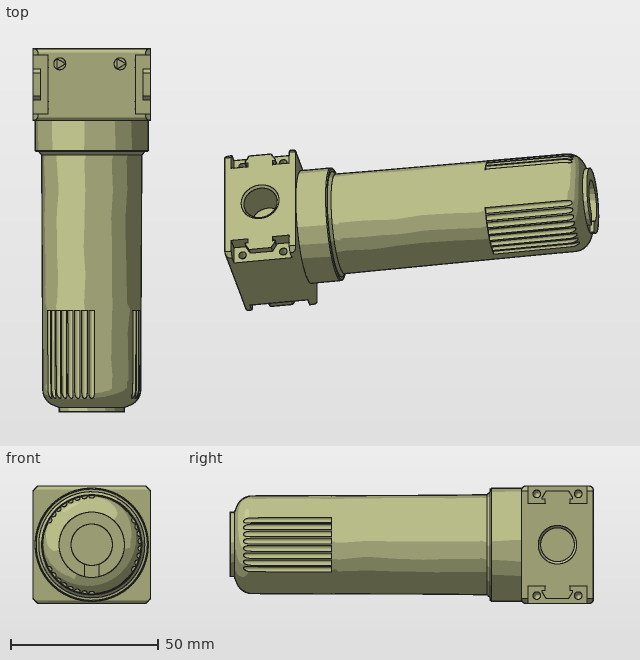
import cadquery as cq
import math


block_side = 40.0
block_length = 24.4
half_side = block_side / 2
block_mid = block_length / 2
corner_chamfer = 1.7
rim_length = 1.6
rim_drop = 1.4

collar_diameter = 38.5
collar_end = 35.0
collar_chamfer = 0.4

port_diameter = 11.5
port_chamfer = 0.8
port_depth = 14.8

pocket_length = 20.0
pocket_height = 5.9
pocket_depth = 5.2
tab_depth = 2.6
tab_neck_half = 4.2
tab_wide_half = 5.2
tab_tip_half = 3.8
tab_neck_drop = 4.5
tab_wide_drop = 4.0
tab_tip_drop = corner_chamfer
dimple_diameter = 2.6
dimple_depth = 3.0
dimple_offset = 7.0
dimple_drop = 2.7

arrow_diameter = 4.1
arrow_positions = (-10.9, 9.6)
arrow_station = 5.2
disc_depth = 0.2
arrow_depth = 0.7

neck_diameter = 36.0
bowl_diameter = 34.0
bowl_small_diameter = 33.3
neck_end = 36.1
taper_start = 38.3
shoulder_start = 115.4
shoulder_end = 121.0
shoulder_end_diameter = 26.4
boss_start = 121.8
boss_diameter = 22.2
bowl_end = 123.3
shoulder_radius = 5.8

end_recess_diameter = 14.0
end_recess_depth = 2.5
slot_width = 4.9
slot_depth = bowl_end - boss_start

groove_diameter = 2.0
groove_axis_radius = 16.8
groove_start = 88.9
grooves_per_group = 8
group_span = 60
group_count = 3


def block():
    """Square block with chamfered lengthwise corners and rounded top and bottom rims."""
    body = cq.Workplane("XY").box(block_side, block_length, block_side)
    body = body.edges("|Y").chamfer(corner_chamfer)

    rim_radius = (rim_length**2 + rim_drop**2) / (2 * rim_drop)
    rim_station = block_mid - rim_length
    rim_height = half_side - rim_drop
    profile = (
        cq.Workplane("YZ")
        .moveTo(-rim_station, half_side)
        .lineTo(rim_station, half_side)
        .radiusArc((block_mid, rim_height), rim_radius)
        .lineTo(block_mid, -rim_height)
        .radiusArc((rim_station, -half_side), rim_radius)
        .lineTo(-rim_station, -half_side)
        .radiusArc((-block_mid, -rim_height), rim_radius)
        .lineTo(-block_mid, rim_height)
        .radiusArc((-rim_station, half_side), rim_radius)
        .close()
    )
    body = body.intersect(profile.extrude(half_side, both=True))
    return body.translate((0, -block_mid, 0))


def collar():
    radius = collar_diameter / 2
    body = cq.Workplane("XZ").workplane(offset=block_length).circle(radius).extrude(collar_end - block_length)
    return body.faces("<Y").chamfer(collar_chamfer)


def port():
    """Blind port with a chamfered mouth, entering the -X side."""
    radius = port_diameter / 2
    mouth_radius = radius + port_chamfer
    outline = (
        cq.Workplane("XY")
        .moveTo(-half_side, 0)
        .lineTo(-half_side, mouth_radius)
        .lineTo(-half_side + port_chamfer, radius)
        .lineTo(-half_side + port_depth, radius)
        .lineTo(-half_side + port_depth, 0)
        .close()
    )
    return outline.revolve(360, (0, 0, 0), (1, 0, 0)).translate((0, -block_mid, 0))


def pocket():
    """Cutter for the upper pocket on the -X side, leaving the dovetail tab standing."""
    space = cq.Workplane("XY").box(pocket_depth, pocket_length, pocket_height, centered=(False, True, False))
    space = space.translate((-half_side, 0, half_side - pocket_height))

    half_outline = [
        (tab_neck_half, pocket_height),
        (tab_neck_half, tab_neck_drop),
        (tab_wide_half, tab_neck_drop),
        (tab_wide_half, tab_wide_drop),
        (tab_tip_half, tab_tip_drop),
    ]
    right = [(across, half_side - drop) for across, drop in half_outline]
    left = [(-across, height) for across, height in reversed(right)]
    tab = cq.Workplane("YZ").workplane(offset=-half_side).polyline(right + left).close().extrude(tab_depth)
    cutter = space.cut(tab)

    radius = dimple_diameter / 2
    for across in (-dimple_offset, dimple_offset):
        mouth = cq.Vector(pocket_depth - half_side, across, half_side - dimple_drop)
        dimple = cq.Solid.makeCone(radius, 0, dimple_depth, pnt=mouth, dir=cq.Vector(1, 0, 0))
        cutter = cutter.union(cq.Workplane(dimple))
    return cutter.translate((0, -block_mid, 0))


def flow_arrow(position):
    """Round recess with a deeper triangle in its floor that points toward +X."""
    face = cq.Workplane("XY").workplane(offset=half_side)
    disc = face.circle(arrow_diameter / 2).extrude(-disc_depth)
    triangle = face.polygon(3, arrow_diameter).extrude(-arrow_depth)
    return disc.union(triangle).translate((position, -arrow_station, 0))


def make_housing():
    body = block().union(collar())
    for cutter in (port(), pocket(), pocket().mirror("XY")):
        body = body.cut(cutter).cut(cutter.mirror("YZ"))
    for position in arrow_positions:
        body = body.cut(flow_arrow(position))
    return body


def bowl_blank():
    """Round bowl turned about Y, with a neck cone, a slight taper, a rounded shoulder and an end boss."""
    small_radius = bowl_small_diameter / 2
    end_radius = shoulder_end_diameter / 2
    chord_across = small_radius - end_radius
    chord_along = shoulder_end - shoulder_start
    chord = math.hypot(chord_across, chord_along)
    bulge = shoulder_radius - math.sqrt(shoulder_radius**2 - (chord / 2) ** 2)
    middle_radius = (small_radius + end_radius) / 2 + bulge * chord_along / chord
    middle_station = (shoulder_start + shoulder_end) / 2 + bulge * chord_across / chord
    outline = (
        cq.Workplane("XY")
        .moveTo(0, -collar_end)
        .lineTo(neck_diameter / 2, -collar_end)
        .lineTo(bowl_diameter / 2, -neck_end)
        .lineTo(bowl_diameter / 2, -taper_start)
        .lineTo(small_radius, -shoulder_start)
        .threePointArc((middle_radius, -middle_station), (end_radius, -shoulder_end))
        .lineTo(boss_diameter / 2, -boss_start)
        .lineTo(boss_diameter / 2, -bowl_end)
        .lineTo(0, -bowl_end)
        .close()
    )
    return outline.revolve(360, (0, 0, 0), (0, 1, 0))


def end_recess():
    """Round recess in the end boss with a slot leading out of it toward -Z."""
    end_plane = cq.Workplane("XZ").workplane(offset=bowl_end)
    radius = end_recess_diameter / 2
    boss_radius = boss_diameter / 2
    recess = end_plane.circle(radius).extrude(-end_recess_depth)
    slot = end_plane.center(0, -boss_radius / 2).rect(slot_width, boss_radius).extrude(-slot_depth)
    return recess.union(slot)


def grip_grooves():
    """Three groups of lengthwise finger grooves that run out through the rounded shoulder."""
    groove = (
        cq.Workplane("XZ")
        .workplane(offset=groove_start)
        .center(groove_axis_radius, 0)
        .circle(groove_diameter / 2)
        .extrude(bowl_end - groove_start)
    )
    pitch = group_span / (grooves_per_group - 1)
    grooves = []
    for group in range(group_count):
        first_angle = group * 360 / group_count - group_span / 2
        for index in range(grooves_per_group):
            angle = first_angle + index * pitch
            grooves.append(groove.rotate((0, 0, 0), (0, 1, 0), -angle))
    return grooves


def make_bowl():
    body = bowl_blank().cut(end_recess())
    for groove in grip_grooves():
        body = body.cut(groove)
    return body


housing = make_housing()
bowl = make_bowl()

result = cq.Compound.makeCompound([housing.val(), bowl.val()])